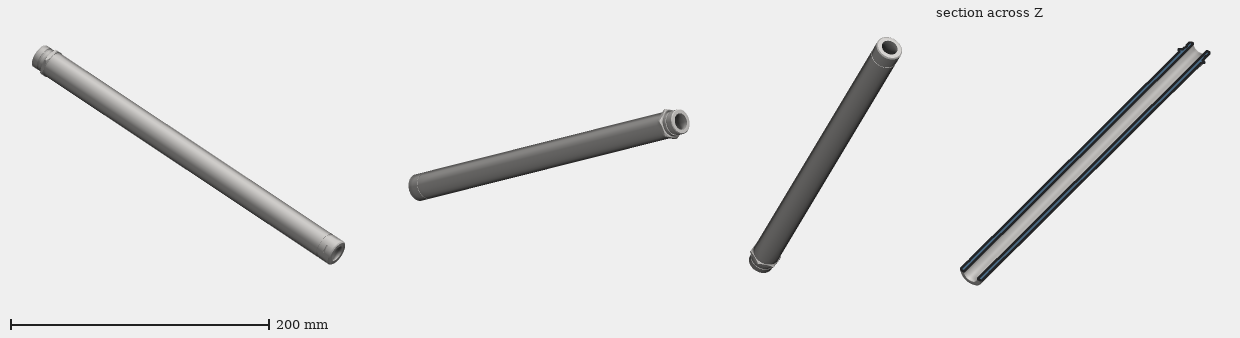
import cadquery as cq
import math

total_length = 300.0
bore_diameter = 13.0
body_diameter = 21.0
body_end_chamfer = 1.0

spigot_diameter = 19.5
spigot_end_chamfer = 0.5

hex_start = 10.2
hex_length = 3.0
hex_across_flats = 22.0
hex_across_corners = 25.0
hex_chamfer_length = 1.0

spigot_groove_start = 5.0
spigot_groove_width = 1.8
spigot_groove_depth = 0.5

body_groove_start = 287.5
body_groove_width = 1.8
body_groove_depth = 0.3

slot_center = 293.7
slot_length = 6.5
slot_width = 1.2
slot_depth = 1.0
slot_angle = 40.0

hex_end = hex_start + hex_length
body_radius = body_diameter / 2


def cylinder_along_x(start, length, diameter):
    """Solid cylinder on the X axis."""
    return cq.Workplane("YZ", origin=(start, 0, 0)).circle(diameter / 2).extrude(length)


def ring_groove(start, width, outer_diameter, depth):
    """Ring to cut away for a square groove around the X axis."""
    ring = cylinder_along_x(start, width, outer_diameter)
    return ring.cut(cylinder_along_x(start, width, outer_diameter - 2 * depth))


def make_spigot():
    """Reduced front end with a chamfered tip and a ring groove."""
    spigot = cylinder_along_x(0, hex_start, spigot_diameter).faces("<X").chamfer(spigot_end_chamfer)
    groove = ring_groove(spigot_groove_start, spigot_groove_width, spigot_diameter, spigot_groove_depth)
    return spigot.cut(groove)


def make_hex_collar():
    """Hexagonal collar, corners along Y, with the corners bevelled at both faces."""
    full_corners = hex_across_flats / math.cos(math.pi / 6)
    prism = cq.Workplane("YZ", origin=(hex_start, 0, 0)).polygon(6, full_corners).extrude(hex_length)
    face_radius = hex_across_flats / 2
    corner_radius = hex_across_corners / 2
    half_section = [
        (hex_start, 0),
        (hex_start, face_radius),
        (hex_start + hex_chamfer_length, corner_radius),
        (hex_end - hex_chamfer_length, corner_radius),
        (hex_end, face_radius),
        (hex_end, 0),
    ]
    trim = cq.Workplane("XY").polyline(half_section).close().revolve(360, (0, 0, 0), (1, 0, 0))
    return prism.intersect(trim)


def make_body():
    """Long tube body with a chamfered far end and a shallow ring groove."""
    body = cylinder_along_x(hex_end, total_length - hex_end, body_diameter)
    body = body.faces(">X").chamfer(body_end_chamfer)
    return body.cut(ring_groove(body_groove_start, body_groove_width, body_diameter, body_groove_depth))


def make_slot():
    """Shallow slot that runs around the body near its far end."""
    slot_prism = (
        cq.Workplane("XY", origin=(slot_center, 0, 0))
        .slot2D(slot_length, slot_width, 90)
        .extrude(body_radius)
        .rotate((0, 0, 0), (1, 0, 0), slot_angle)
    )
    floor_diameter = body_diameter - 2 * slot_depth
    core = cylinder_along_x(slot_center - slot_width, 2 * slot_width, floor_diameter)
    return slot_prism.cut(core)


outside = make_spigot().union(make_hex_collar()).union(make_body())
result = outside.cut(make_slot()).cut(cylinder_along_x(0, total_length, bore_diameter))